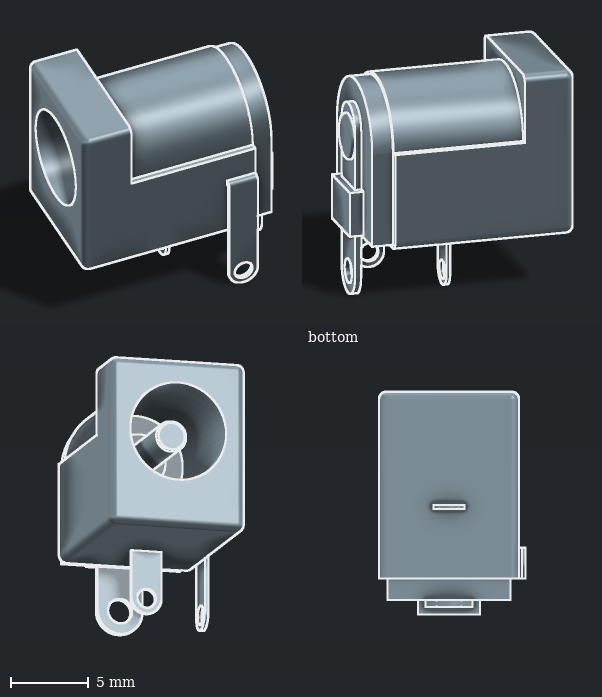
import cadquery as cq
import math


body_width = 9.0
body_height = 11.0
body_length = 12.0
flange_length = 3.33
edge_radius = 0.5

barrel_radius = 4.0
barrel_flat = 0.2
shoulder_height = 6.47
cap_radius = 3.9
cap_flat = 0.1
cap_shoulder = 6.42
cap_bottom = 0.23
cap_back = 13.38

socket_height = 6.3
socket_diameter = 6.4
socket_depth = 10.0
collar_diameter = 3.53
collar_length = 1.0
pin_diameter = 2.0
pin_tip = 1.5
pin_chamfer = 0.13

lug_bottom = -4.1
small_lug_width = 2.0
small_lug_hole = 1.23
small_lug_thickness = 0.25
front_lug_y = 7.27
side_lug_top = 4.43
side_lug_outer_x = 4.92
side_bend_radius = 0.35
rear_lug_width = 3.0
rear_lug_hole = 1.6
rear_lug_top = 8.75
rear_lug_back = 13.8

rivet_diameter = 3.03
rivet_height = 6.5
rivet_back = 14.02
rivet_edge_radius = 0.18
block_width = 4.0
block_bottom = 0.37
block_top = 3.33
block_back = 14.3

embed = 0.5


def box_between(width, y_front, y_back, z_bottom, z_top):
    """Box centred on X = 0 between the given Y and Z limits."""
    size = (width, y_back - y_front, z_top - z_bottom)
    corner = (-width / 2, y_front, z_bottom)
    return cq.Workplane("XY").box(*size, centered=False).translate(corner)


def cylinder_y(diameter, y_front, y_back, z_centre):
    """Cylinder along Y, centred on X = 0."""
    plane = cq.Workplane("XZ", origin=(0, y_back, z_centre))
    return plane.circle(diameter / 2).extrude(y_back - y_front)


def arched_block(radius, flat, shoulder, y_front, y_back, z_bottom):
    """Block with vertical sides and a rounded top made of two quarter arcs joined by a narrow flat."""
    half_width = radius + flat / 2
    top = shoulder + radius
    diagonal = radius * math.sqrt(0.5)
    arc_x = flat / 2 + diagonal
    arc_z = shoulder + diagonal
    return (
        cq.Workplane("XZ", origin=(0, y_back, 0))
        .moveTo(-half_width, z_bottom)
        .lineTo(half_width, z_bottom)
        .lineTo(half_width, shoulder)
        .threePointArc((arc_x, arc_z), (flat / 2, top))
        .lineTo(-flat / 2, top)
        .threePointArc((-arc_x, arc_z), (-half_width, shoulder))
        .close()
        .extrude(y_back - y_front)
    )


def make_housing():
    """Flanged housing with rounded front and long edges, arched barrel and rear cap."""
    block = box_between(body_width, 0, body_length, 0, body_height)
    block = block.edges("|Y").fillet(edge_radius)
    block = block.faces("<Y").edges().fillet(edge_radius)
    above_shoulder = box_between(body_width, flange_length, body_length, shoulder_height, body_height)
    barrel = arched_block(barrel_radius, barrel_flat, shoulder_height, flange_length, body_length, embed)
    cap = arched_block(cap_radius, cap_flat, cap_shoulder, body_length - embed, cap_back, cap_bottom)
    return block.cut(above_shoulder).union(barrel).union(cap)


def make_pin():
    """Contact pin with a chamfered tip and a collar on the socket floor."""
    pin = cylinder_y(pin_diameter, pin_tip, socket_depth + embed, socket_height)
    pin = pin.faces("<Y").chamfer(pin_chamfer)
    collar_front = socket_depth - collar_length
    return pin.union(cylinder_y(collar_diameter, collar_front, socket_depth + embed, socket_height))


def make_lug(width, hole, thickness, z_top):
    """Solder lug facing Y, with its front at Y = 0, a round lower end and a concentric hole."""
    centre_z = lug_bottom + width / 2
    strip = box_between(width, 0, thickness, centre_z, z_top)
    lug = strip.union(cylinder_y(width, 0, thickness, centre_z))
    return lug.cut(cylinder_y(hole, 0, thickness, centre_z))


def make_front_lug():
    lug = make_lug(small_lug_width, small_lug_hole, small_lug_thickness, embed)
    return lug.translate((0, front_lug_y, 0))


def make_side_lug():
    """Lug along the +X side, bent at its top into the housing."""
    lug = make_lug(small_lug_width, small_lug_hole, small_lug_thickness, side_lug_top - side_bend_radius)
    lug = lug.rotate((0, 0, 0), (0, 0, 1), -90)
    y_centre = body_length - small_lug_width / 2
    lug = lug.translate((side_lug_outer_x - small_lug_thickness, y_centre, 0))

    inner_radius = side_bend_radius - small_lug_thickness
    bend_x = side_lug_outer_x - side_bend_radius
    bend_z = side_lug_top - side_bend_radius
    housing_x = body_width / 2 - embed
    diagonal = math.sqrt(0.5)
    bend = (
        cq.Workplane("XZ", origin=(0, body_length, 0))
        .moveTo(housing_x, side_lug_top)
        .lineTo(bend_x, side_lug_top)
        .threePointArc(
            (bend_x + side_bend_radius * diagonal, bend_z + side_bend_radius * diagonal),
            (side_lug_outer_x, bend_z),
        )
        .lineTo(side_lug_outer_x - small_lug_thickness, bend_z)
        .threePointArc(
            (bend_x + inner_radius * diagonal, bend_z + inner_radius * diagonal),
            (bend_x, bend_z + inner_radius),
        )
        .lineTo(housing_x, side_lug_top - small_lug_thickness)
        .close()
        .extrude(small_lug_width)
    )
    return lug.union(bend)


def make_rear_lug():
    """Lug against the back of the cap, round at both ends."""
    thickness = rear_lug_back - cap_back
    top_centre = rear_lug_top - rear_lug_width / 2
    lug = make_lug(rear_lug_width, rear_lug_hole, thickness, top_centre)
    lug = lug.union(cylinder_y(rear_lug_width, 0, thickness, top_centre))
    return lug.translate((0, cap_back, 0))


def make_rivet():
    """Rivet head with a rounded rim on the rear lug."""
    rivet = cylinder_y(rivet_diameter, rear_lug_back, rivet_back, rivet_height)
    return rivet.faces(">Y").edges().fillet(rivet_edge_radius)


def make_rear_block():
    return box_between(block_width, cap_back - embed, block_back, block_bottom, block_top)


result = make_housing().cut(cylinder_y(socket_diameter, 0, socket_depth, socket_height))
for feature in (
    make_pin(),
    make_front_lug(),
    make_side_lug(),
    make_rear_lug(),
    make_rivet(),
    make_rear_block(),
):
    result = result.union(feature)